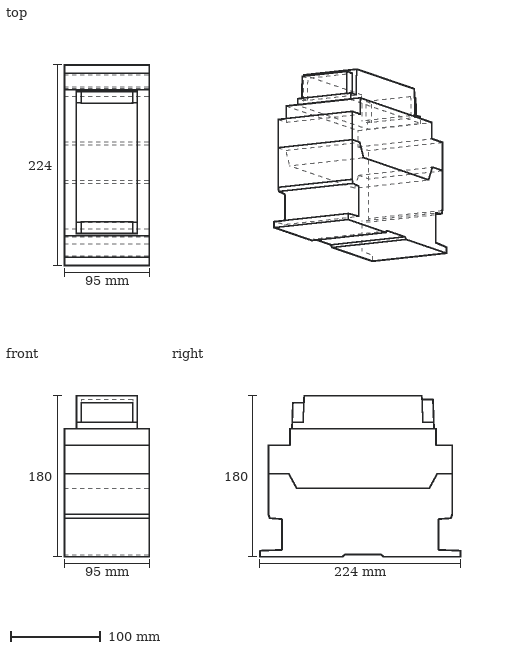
import cadquery as cq
import math

body_width = 95.0
upper_offset = 3.0
body_half = 102.75
parting_z = 92.5
parting_low_z = 76.5

parting_high_half = 82.7
parting_low_half = 74.0

flange_half = 112.0
flange_edge_z = 7.0
flange_root_z = 7.9
base_rounding = 0.7
neck_half = 87.5
overhang_root_z = 42.0
overhang_lip_z = 43.0
overhang_lip_half = 101.15
overhang_chamfer_z = 47.4
rail_depth = 2.5
rail_mouth_half = 23.0
rail_floor_half = 20.0

shoulder_z = 124.7
lid_top_z = 143.2
lid_step_half = 81.5

cover_width = 68.0
cover_top_z = 180.0
cover_ledge_z = 150.5
cover_foot_half = 79.4
cover_wall_half = 66.8
cover_rounding = 0.7
cover_draft_angle = 2.0
cover_draft = math.tan(math.radians(cover_draft_angle))

insert_width = 57.5
insert_rounding = 0.8
front_insert_top_z = 172.0
rear_insert_top_z = 175.7


def extrude_profile(points, width):
    """Extrude a (Y, Z) outline along X, centred on X = 0."""
    return cq.Workplane("YZ").polyline(points).close().extrude(width / 2, both=True)


def round_edges_at(body, points, radius):
    """Round the X-parallel edges that pass through the given (Y, Z) points."""
    for y, z in points:
        body = body.edges(cq.selectors.NearestToPointSelector((0, y, z))).fillet(radius)
    return body


def parting_line():
    """Points of the parting line from front (-Y) to rear (+Y)."""
    return [
        (-body_half, parting_z),
        (upper_offset - parting_high_half, parting_z),
        (upper_offset - parting_low_half, parting_low_z),
        (upper_offset + parting_low_half, parting_low_z),
        (upper_offset + parting_high_half, parting_z),
        (body_half, parting_z),
    ]


def make_base():
    """Lower housing with mounting flanges and a shallow rail recess underneath."""
    rear_side = [
        (body_half, overhang_chamfer_z),
        (overhang_lip_half, overhang_lip_z),
        (neck_half, overhang_root_z),
        (neck_half, flange_root_z),
        (flange_half, flange_edge_z),
        (flange_half, 0),
    ]
    front_side = [(-y, z) for y, z in reversed(rear_side)]
    rail_recess = [
        (upper_offset + rail_mouth_half, 0),
        (upper_offset + rail_floor_half, rail_depth),
        (upper_offset - rail_floor_half, rail_depth),
        (upper_offset - rail_mouth_half, 0),
    ]
    base = extrude_profile(parting_line() + rear_side + rail_recess + front_side, body_width)
    rounded = []
    for side in (-1, 1):
        rounded.append((side * neck_half, overhang_root_z))
        rounded.append((side * neck_half, flange_root_z))
        rounded.append((side * flange_half, flange_edge_z))
    return round_edges_at(base, rounded, base_rounding)


def make_lid():
    """Upper housing with a raised central step."""
    outline = parting_line() + [
        (body_half, shoulder_z),
        (upper_offset + lid_step_half, shoulder_z),
        (upper_offset + lid_step_half, lid_top_z),
        (upper_offset - lid_step_half, lid_top_z),
        (upper_offset - lid_step_half, shoulder_z),
        (-body_half, shoulder_z),
    ]
    return extrude_profile(outline, body_width)


def foot_half_at(z):
    """Half depth of the drafted outer face shared by the cover foot and the inserts."""
    return cover_foot_half - (z - lid_top_z) * cover_draft


def wall_half_at(z):
    """Half depth of the drafted cover wall above the ledge."""
    return cover_wall_half - (z - cover_ledge_z) * cover_draft


def make_cover():
    """Top cover with a foot ledge at each end and drafted end walls."""
    rear_side = [
        (foot_half_at(lid_top_z), lid_top_z),
        (foot_half_at(cover_ledge_z), cover_ledge_z),
        (wall_half_at(cover_ledge_z), cover_ledge_z),
        (wall_half_at(cover_top_z), cover_top_z),
    ]
    front_side = [(-y, z) for y, z in reversed(rear_side)]
    outline = [(upper_offset + y, z) for y, z in rear_side + front_side]
    cover = extrude_profile(outline, cover_width)
    top_half = wall_half_at(cover_top_z)
    rounded = [(upper_offset + side * top_half, cover_top_z) for side in (-1, 1)]
    return round_edges_at(cover, rounded, cover_rounding)


def make_insert(side, top_z):
    """Terminal insert on a cover ledge; side is -1 at the front and 1 at the rear."""
    section = [
        (wall_half_at(cover_ledge_z), cover_ledge_z),
        (foot_half_at(cover_ledge_z), cover_ledge_z),
        (foot_half_at(top_z), top_z),
        (wall_half_at(top_z), top_z),
    ]
    insert = extrude_profile([(upper_offset + side * y, z) for y, z in section], insert_width)
    outer_top_edge = (upper_offset + side * foot_half_at(top_z), top_z)
    return round_edges_at(insert, [outer_top_edge], insert_rounding)


base = make_base()
lid = make_lid()
cover = make_cover()
inserts = [
    make_insert(side, top_z)
    for side, top_z in ((-1, front_insert_top_z), (1, rear_insert_top_z))
]

result = cq.Compound.makeCompound(
    [base.val(), lid.val(), cover.val()] + [insert.val() for insert in inserts]
)